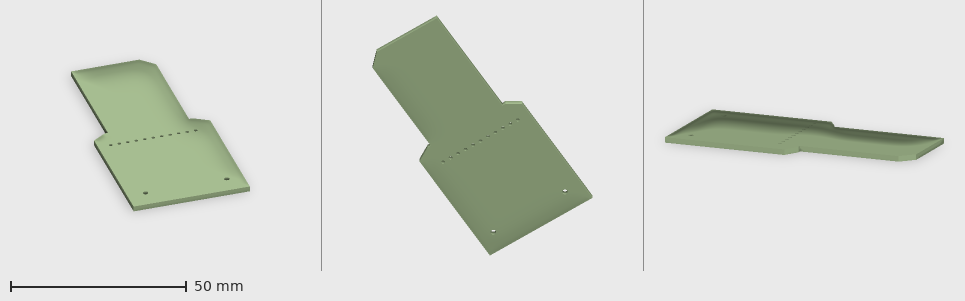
import cadquery as cq

length = 73.65
width = 34.8
thickness = 1.6
left = -length / 2
right = length / 2
back = width / 2
front = -width / 2

tab_length = 34.25
tab_back = 11.85
tab_front = -12.4
tab_chamfer = 3.8

shoulder_x = left + tab_length
shoulder_run = 2.6
back_shoulder_rise = 4.4
front_shoulder_rise = 3.9

pin_diameter = 1.0
pin_count = 11
pin_row_length = 25.4
pin_pitch = pin_row_length / (pin_count - 1)
pin_row_x = 3.75
pin_row_center_y = -0.9

mount_diameter = 1.55
mount_count = 2
mount_x = 30.95
mount_spacing = 24.3
mount_center_y = 0.2


def board():
    outline = [
        (left, tab_front),
        (shoulder_x, tab_front),
        (shoulder_x, front + front_shoulder_rise),
        (shoulder_x + shoulder_run, front),
        (right, front),
        (right, back),
        (shoulder_x + shoulder_run, back),
        (shoulder_x, back - back_shoulder_rise),
        (shoulder_x, tab_back),
        (left + tab_chamfer, tab_back),
        (left, tab_back - tab_chamfer),
    ]
    return cq.Workplane("XY").polyline(outline).close().extrude(thickness)


def drill_row(body, x, center_y, spacing, count, diameter):
    """Drill a row of through holes, evenly spaced along Y."""
    return (
        body.faces(">Z")
        .workplane(origin=(x, center_y, thickness))
        .rarray(0.7, spacing, 1, count)
        .hole(diameter)
    )


result = board()
result = drill_row(result, pin_row_x, pin_row_center_y, pin_pitch, pin_count, pin_diameter)
result = drill_row(result, mount_x, mount_center_y, mount_spacing, mount_count, mount_diameter)